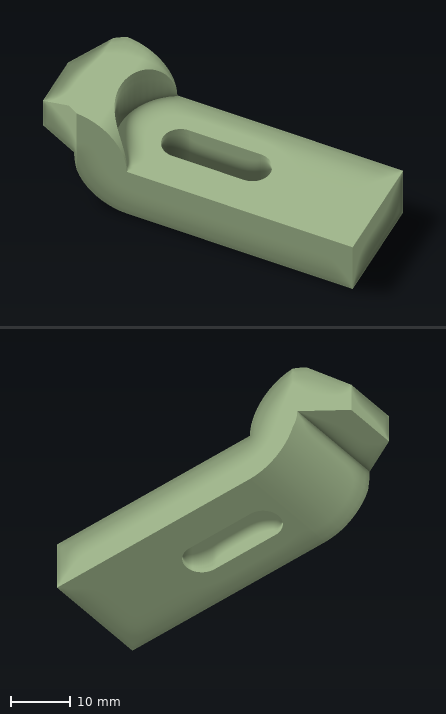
import cadquery as cq
import math

length = 60.0
width = 60.0 / 3
thickness = width / 2
bend_radius = thickness

nose_bottom = 8.9
nose_top = 14.7
slope_end_x = 6.6
tip_width = width / 2
taper_angle = 30.0

upper_bend_x = 8.0
lower_bend_x = upper_bend_x + bend_radius

slot_start = 20.0
slot_length = width
slot_width = 6.65
washer_x = slot_start + slot_width / 2
washer_radius = 11.15


def arc_point(center_x, angle):
    """Point on a bend centred at the height of the bar's top face."""
    a = math.radians(angle)
    return (center_x + bend_radius * math.cos(a), thickness + bend_radius * math.sin(a))


def make_body():
    """Side profile extruded across the full width."""
    slope_end_angle = math.degrees(math.acos((slope_end_x - upper_bend_x) / bend_radius))
    return (
        cq.Workplane("XZ")
        .moveTo(0, nose_bottom)
        .lineTo(0, nose_top)
        .lineTo(*arc_point(upper_bend_x, slope_end_angle))
        .threePointArc(arc_point(upper_bend_x, 45), arc_point(upper_bend_x, 0))
        .lineTo(length, thickness)
        .lineTo(length, 0)
        .lineTo(lower_bend_x, 0)
        .threePointArc(arc_point(lower_bend_x, 225), arc_point(lower_bend_x, 180))
        .close()
        .extrude(width / 2, both=True)
    )


def make_plan():
    """Plan outline with the tapered nose, taller than the body."""
    taper_length = (width - tip_width) / 2 / math.tan(math.radians(taper_angle))
    return (
        cq.Workplane("XY")
        .moveTo(0, -tip_width / 2)
        .lineTo(taper_length, -width / 2)
        .lineTo(length, -width / 2)
        .lineTo(length, width / 2)
        .lineTo(taper_length, width / 2)
        .lineTo(0, tip_width / 2)
        .close()
        .extrude(2 * thickness)
    )


def make_slot():
    """Through slot for the clamping bolt."""
    return (
        cq.Workplane("XY")
        .center(slot_start + slot_length / 2, 0)
        .slot2D(slot_length, slot_width)
        .extrude(thickness)
    )


def make_washer_clearance():
    """Round relief in the back of the upper bend, down to the bar's top face."""
    return (
        cq.Workplane("XY", origin=(washer_x, 0, thickness))
        .circle(washer_radius)
        .extrude(bend_radius)
    )


result = make_body().intersect(make_plan()).cut(make_slot()).cut(make_washer_clearance())